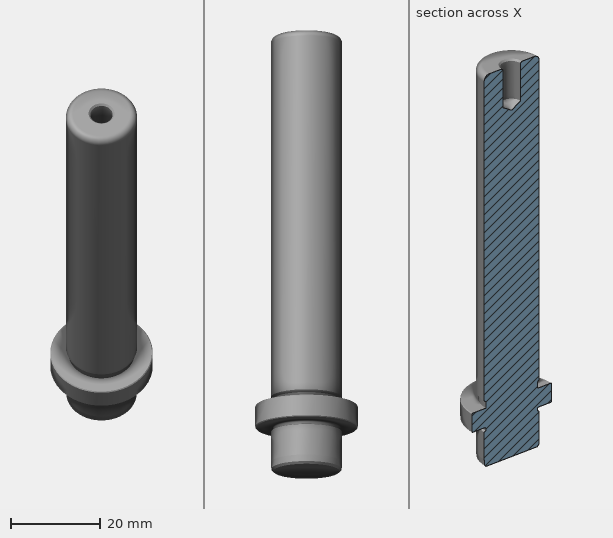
import cadquery as cq

total_length = 100.0
spigot_top = 9.2
flange_bottom = 10.0
flange_thickness = 5.0
flange_top = flange_bottom + flange_thickness
shaft_bottom = 17.0

shaft_radius = 8.0
neck_radius = 7.5
flange_radius = 11.5

tip_round = 1.5
lead_in_height = 2.0
lead_in_depth = 0.1
bottom_chamfer = 0.5
spigot_taper_height = 0.2
neck_fillet = 0.3
shoulder_chamfer = 0.5
flange_chamfer = 0.2

hole_radius = 2.5
hole_depth = 10.0
hole_mouth_chamfer = 0.4
drill_point_height = 1.5


def turned_body():
    """Half profile of the pin revolved about Z."""
    lead_in_radius = shaft_radius - lead_in_depth
    profile = (
        cq.Workplane("XZ")
        .lineTo(lead_in_radius - bottom_chamfer, 0)
        .lineTo(lead_in_radius, bottom_chamfer)
        .lineTo(shaft_radius, lead_in_height)
        .lineTo(shaft_radius, spigot_top - spigot_taper_height)
        .lineTo(neck_radius, spigot_top)
        .lineTo(neck_radius, flange_bottom - neck_fillet)
        .radiusArc((neck_radius + neck_fillet, flange_bottom), neck_fillet)
        .lineTo(flange_radius - flange_chamfer, flange_bottom)
        .lineTo(flange_radius, flange_bottom + flange_chamfer)
        .lineTo(flange_radius, flange_top - flange_chamfer)
        .lineTo(flange_radius - flange_chamfer, flange_top)
        .lineTo(neck_radius, flange_top)
        .lineTo(neck_radius, shaft_bottom - shoulder_chamfer)
        .lineTo(shaft_radius, shaft_bottom)
        .lineTo(shaft_radius, total_length - tip_round)
        .radiusArc((shaft_radius - tip_round, total_length), -tip_round)
        .lineTo(0, total_length)
        .close()
    )
    return profile.revolve(360, (0, 0), (0, 1))


def end_hole():
    """Solid to remove from the top end."""
    hole_bottom = total_length - hole_depth
    profile = (
        cq.Workplane("XZ")
        .moveTo(0, hole_bottom - drill_point_height)
        .lineTo(hole_radius, hole_bottom)
        .lineTo(hole_radius, total_length - hole_mouth_chamfer)
        .lineTo(hole_radius + hole_mouth_chamfer, total_length)
        .lineTo(0, total_length)
        .close()
    )
    return profile.revolve(360, (0, 0), (0, 1))


result = turned_body().cut(end_hole())